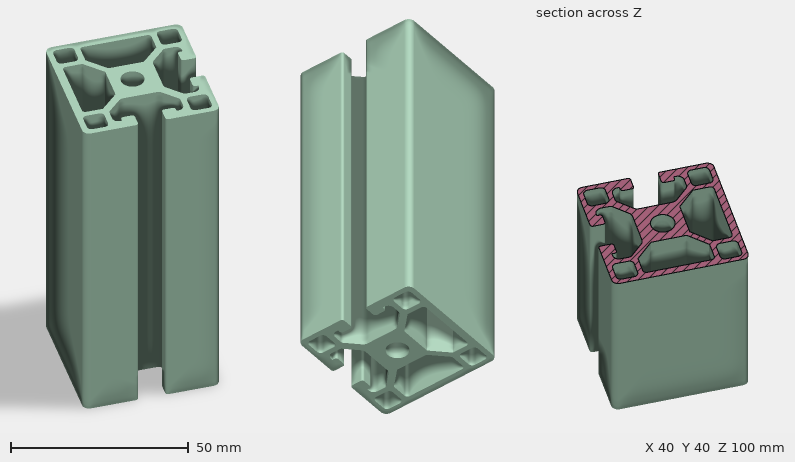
import cadquery as cq

side = 40.0
length = 100.0
outer_radius = 2.0
half_side = side / 2

bore_diameter = 6.8

corner_hollow = 6.2
corner_wall = 1.7
corner_hollow_radius = 1.3
corner_center = half_side - corner_wall - corner_hollow / 2

chamber_half_width = 10.4

slot_half_opening = 4.0
slot_floor = 7.5
slot_web_offset = 1.8
slot_floor_radius = 2.0
lip_depth = 4.5
lip_half_width = 8.0
lip_radius = 0.8
notch_wall = 3.0
notch_radius = 1.8
shoulder_radius = 1.0

pocket_wall = 2.4
pocket_floor = 6.5
pocket_web_offset = 1.3
pocket_radius = 1.0


def vertical_edges_at(body, points):
    """Select the vertical edges of body that pass through the given (x, y) points."""
    edges = []
    for x, y in points:
        edges += body.edges(cq.selectors.NearestToPointSelector((x, y, length / 2))).vals()
    return body.newObject(edges)


def mirrored(points):
    """Add the mirror image of each (x, y) point across the Y axis."""
    return points + [(-x, y) for x, y in points]


def closed_outline(half_points):
    """Extrude an outline given by its +X half, listed from inside to outside."""
    left_half = [(-x, y) for x, y in reversed(half_points)]
    return cq.Workplane("XY").polyline(half_points + left_half).close().extrude(length)


def slot_cutter():
    """T-slot that opens toward +Y."""
    floor = (slot_floor - slot_web_offset, slot_floor)
    shoulder = (chamber_half_width, chamber_half_width + slot_web_offset)
    notch = (chamber_half_width, half_side - notch_wall)
    notch_root = (lip_half_width, half_side - notch_wall)
    lip_back = (lip_half_width, half_side - lip_depth)
    lip_inner = (slot_half_opening, half_side - lip_depth)
    mouth = (slot_half_opening, half_side)
    body = closed_outline([floor, shoulder, notch, notch_root, lip_back, lip_inner, mouth])
    rounded = (
        ([floor], slot_floor_radius),
        ([shoulder], shoulder_radius),
        ([notch], notch_radius),
        ([lip_back, lip_inner], lip_radius),
    )
    for points, radius in rounded:
        body = vertical_edges_at(body, mirrored(points)).fillet(radius)
    return body


def pocket_cutter():
    """Closed pocket behind the +Y side."""
    floor = (pocket_floor - pocket_web_offset, pocket_floor)
    shoulder = (chamber_half_width, chamber_half_width + pocket_web_offset)
    outer = (chamber_half_width, half_side - pocket_wall)
    body = closed_outline([floor, shoulder, outer])
    return vertical_edges_at(body, mirrored([outer])).fillet(pocket_radius)


def turned(body, angle):
    return body.rotate((0, 0, 0), (0, 0, 1), angle)


bar = cq.Workplane("XY").rect(side, side).extrude(length).edges("|Z").fillet(outer_radius)

slot = slot_cutter()
for angle in (0, -90):
    bar = bar.cut(turned(slot, angle))
mouth_corners = mirrored([(slot_half_opening, half_side)])
mouth_corners += [(y, x) for x, y in mouth_corners]
bar = vertical_edges_at(bar, mouth_corners).fillet(lip_radius)

pocket = pocket_cutter()
for angle in (90, 180):
    bar = bar.cut(turned(pocket, angle))

hollow = cq.Workplane("XY").rect(corner_hollow, corner_hollow).extrude(length)
hollow = hollow.edges("|Z").fillet(corner_hollow_radius)
for x in (-corner_center, corner_center):
    for y in (-corner_center, corner_center):
        bar = bar.cut(hollow.translate((x, y, 0)))

bore = cq.Workplane("XY").circle(bore_diameter / 2).extrude(length)
result = bar.cut(bore)